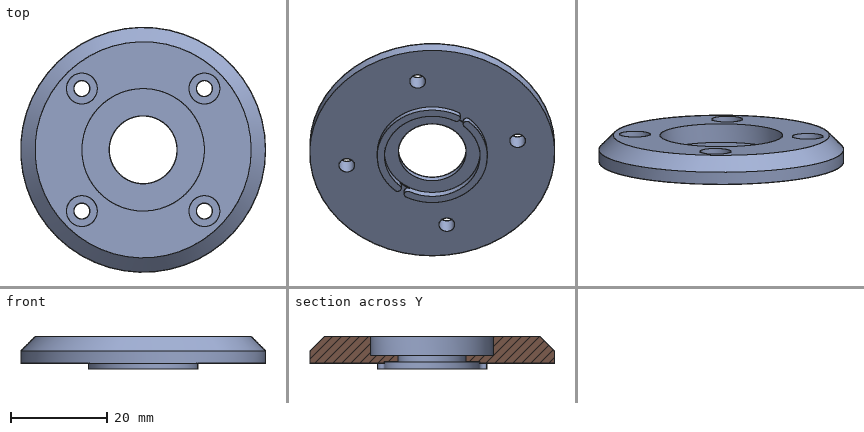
import cadquery as cq
import math

disc_diameter = 50.8
disc_height = 5.6
rim_chamfer = 3.0

pocket_diameter = disc_diameter / 2
pocket_depth = 3.9
bore_diameter = 14.0

screw_spacing = disc_diameter / 2
screw_hole_diameter = 3.25
counterbore_diameter = 6.4
counterbore_depth = 1.5

ring_outer_diameter = 22.85
ring_wall = 1.5
ring_height = 1.2
ring_gap = 1.05

recess_diameter = ring_outer_diameter - 2 * ring_wall
recess_depth = 0.3


def make_disc():
    """Chamfered disc with its underside at Z = 0."""
    disc = cq.Workplane("XY").circle(disc_diameter / 2).extrude(disc_height)
    return disc.faces(">Z").edges().chamfer(rim_chamfer)


def cut_center(body):
    """Round pocket from the top and a smaller bore through its floor."""
    body = body.faces(">Z").workplane().hole(pocket_diameter, pocket_depth)
    return body.faces(">Z").workplane().hole(bore_diameter)


def cut_recess(body):
    recess = cq.Workplane("XY").circle(recess_diameter / 2).extrude(recess_depth)
    return body.cut(recess)


def cut_screw_holes(body):
    return (
        body.faces(">Z")
        .workplane()
        .rect(screw_spacing, screw_spacing, forConstruction=True)
        .vertices()
        .cboreHole(screw_hole_diameter, counterbore_diameter, counterbore_depth)
    )


def make_half_ring():
    """Half ring on the +Y side, hanging below Z = 0, with fully rounded ends."""
    outer_radius = ring_outer_diameter / 2
    inner_radius = outer_radius - ring_wall
    middle_radius = outer_radius - ring_wall / 2
    end_y = (ring_gap + ring_wall) / 2
    end_angle = math.asin(end_y / middle_radius)
    cos_end = math.cos(end_angle)
    sin_end = math.sin(end_angle)

    outer_end = (outer_radius * cos_end, outer_radius * sin_end)
    inner_end = (inner_radius * cos_end, inner_radius * sin_end)
    tip = (
        middle_radius * cos_end + ring_wall / 2 * sin_end,
        middle_radius * sin_end - ring_wall / 2 * cos_end,
    )
    return (
        cq.Workplane("XY")
        .moveTo(*outer_end)
        .threePointArc((0, outer_radius), (-outer_end[0], outer_end[1]))
        .threePointArc((-tip[0], tip[1]), (-inner_end[0], inner_end[1]))
        .threePointArc((0, inner_radius), inner_end)
        .threePointArc(tip, outer_end)
        .close()
        .extrude(-ring_height)
    )


plate = cut_screw_holes(cut_recess(cut_center(make_disc())))
half_ring = make_half_ring()
result = plate.union(half_ring).union(half_ring.mirror("XZ"))